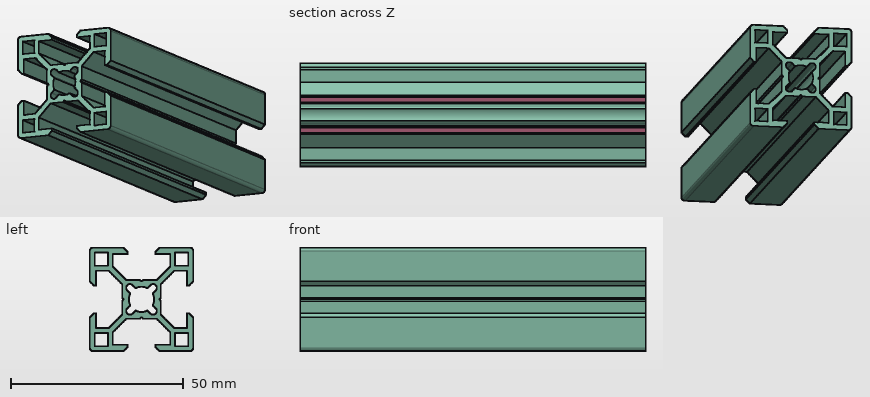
import cadquery as cq
import math

length = 100.0
width = 30.0
corner_radius = 1.0

slot_opening = 8.0
slot_inner_width = 16.5
lip_thickness = 1.9
lip_chamfer = 1.2

core_width = 11.25
web_thickness = 1.75
notch_half_width = 0.5
notch_depth = 0.4

hollow_wall = 1.5

bore_diameter = 7.25
lobe_width = 2.1
lobe_center_offset = 3.35

half_width = width / 2
half_opening = slot_opening / 2
half_inner = slot_inner_width / 2
half_core = core_width / 2
slot_roof = half_width - lip_thickness
web_offset = web_thickness / math.sqrt(2)
hollow_size = half_width - half_inner - 2 * hollow_wall
hollow_center = half_inner + hollow_wall + hollow_size / 2
cut_overshoot = 1.0

profile_plane = cq.Plane(origin=(-length / 2, 0, 0), xDir=(0, 1, 0), normal=(1, 0, 0))


def make_blank():
    """Square bar with rounded long corners."""
    blank = cq.Workplane(profile_plane).rect(width, width).extrude(length)
    return blank.edges("|X").fillet(corner_radius)


def make_slot():
    """Upper T-slot: chamfered mouth, wide chamber, sloping web sides and a notched floor."""
    right_side = [
        (half_opening + lip_chamfer + cut_overshoot, half_width + cut_overshoot),
        (half_opening, half_width - lip_chamfer),
        (half_opening, slot_roof),
        (half_inner, slot_roof),
        (half_inner, half_inner + web_offset),
        (half_core - web_offset, half_core),
        (notch_half_width, half_core),
    ]
    left_side = [(-y, z) for y, z in reversed(right_side)]
    notch_bottom = (0, half_core - notch_depth)
    outline = right_side + [notch_bottom] + left_side
    return cq.Workplane(profile_plane).polyline(outline).close().extrude(length)


def make_corner_hollows():
    """Four square hollows, one behind each outer corner."""
    return (
        cq.Workplane(profile_plane)
        .rect(2 * hollow_center, 2 * hollow_center, forConstruction=True)
        .vertices()
        .rect(hollow_size, hollow_size)
        .extrude(length)
    )


def make_bore():
    """Round bore crossed by two diagonal round-ended slots."""
    lobe_span = 2 * math.sqrt(2) * lobe_center_offset + lobe_width
    bore = cq.Workplane(profile_plane).circle(bore_diameter / 2).extrude(length)
    for angle in (45, 135):
        lobes = cq.Workplane(profile_plane).slot2D(lobe_span, lobe_width, angle).extrude(length)
        bore = bore.union(lobes)
    return bore


result = make_blank()
slot_cutter = make_slot()
for side in range(4):
    result = result.cut(slot_cutter.rotate((0, 0, 0), (1, 0, 0), side * 90))
result = result.cut(make_corner_hollows())
result = result.cut(make_bore())